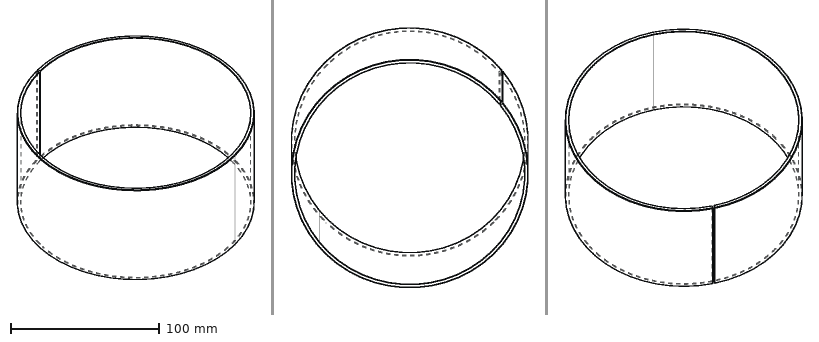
import cadquery as cq

outer_diameter = 160.0
height = outer_diameter / 2
wall = 2.5
outer_chamfer = 0.5
inner_chamfer = 0.3
slit_width = 1.3

outer_radius = outer_diameter / 2
inner_radius = outer_radius - wall


def make_ring():
    """Tube with both edges of each rim chamfered, revolved from its wall section."""
    section = [
        (inner_radius, inner_chamfer),
        (inner_radius + inner_chamfer, 0),
        (outer_radius - outer_chamfer, 0),
        (outer_radius, outer_chamfer),
        (outer_radius, height - outer_chamfer),
        (outer_radius - outer_chamfer, height),
        (inner_radius + inner_chamfer, height),
        (inner_radius, height - inner_chamfer),
    ]
    profile = cq.Workplane("XZ").polyline(section).close()
    return profile.revolve(360, (0, 0, 0), (0, 1, 0))


def make_slit():
    """Full-height cut through the -X wall, with one face on the XZ plane."""
    block = cq.Workplane("XY").box(outer_radius, slit_width, height, centered=False)
    return block.translate((-outer_radius, 0, 0))


result = make_ring().cut(make_slit())